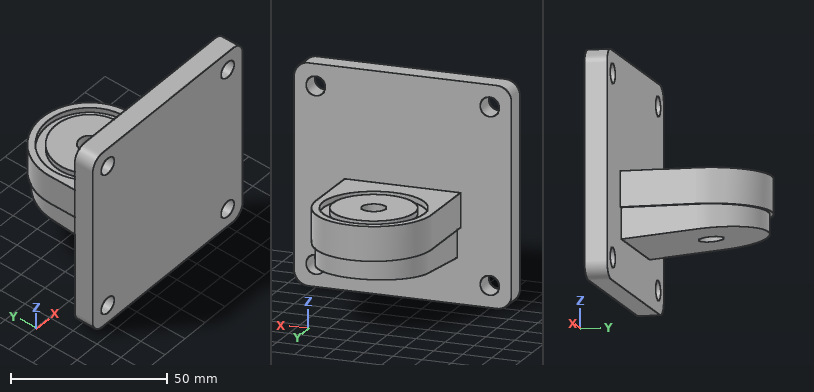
import cadquery as cq
import math

plate_side = 75.0
plate_thickness = 7.5
plate_corner_radius = 5.0
bolt_spacing = 60.0
bolt_hole_diameter = 6.5

total_depth = 52.5
lug_width = 39.9
lug_thickness = 11.7
pivot_y = total_depth - lug_width / 2
pivot_hole_diameter = 8.1

groove_outer_diameter = 34.8
groove_inner_diameter = 28.2
groove_depth = 2.0

support_inset = 1.2
support_width = lug_width - 2 * support_inset
support_root_depth = 22.0
support_slope = 5.0


def make_plate():
    """Square plate with rounded corners and a bolt hole near each corner."""
    plate = (
        cq.Workplane("XZ")
        .rect(plate_side, plate_side)
        .extrude(-plate_thickness)
        .edges("|Y")
        .fillet(plate_corner_radius)
    )
    bolt_holes = (
        cq.Workplane("XZ")
        .rect(bolt_spacing, bolt_spacing, forConstruction=True)
        .vertices()
        .circle(bolt_hole_diameter / 2)
        .extrude(-plate_thickness)
    )
    return plate.cut(bolt_holes)


def make_arm(width, top_z, bottom_z):
    """Arm from the plate's rear face to a round end about the pivot axis."""
    half_width = width / 2
    return (
        cq.Workplane("XY", origin=(0, 0, bottom_z))
        .moveTo(-half_width, plate_thickness)
        .lineTo(half_width, plate_thickness)
        .lineTo(half_width, pivot_y)
        .threePointArc((0, pivot_y + half_width), (-half_width, pivot_y))
        .close()
        .extrude(top_z - bottom_z)
    )


def make_support():
    """Inset arm under the lug, trimmed to a side profile with a sloping bottom."""
    slope_rise = (total_depth - plate_thickness) * math.tan(math.radians(support_slope))
    side_profile = (
        cq.Workplane("YZ")
        .polyline([
            (plate_thickness, -lug_thickness),
            (plate_thickness, -support_root_depth),
            (total_depth, -support_root_depth + slope_rise),
            (total_depth, -lug_thickness),
        ])
        .close()
        .extrude(support_width, both=True)
    )
    return make_arm(support_width, -lug_thickness, -support_root_depth).intersect(side_profile)


def make_groove():
    """Ring cut into the top of the lug."""
    return (
        cq.Workplane("XY")
        .center(0, pivot_y)
        .circle(groove_outer_diameter / 2)
        .circle(groove_inner_diameter / 2)
        .extrude(-groove_depth)
    )


def make_pivot_hole():
    """Vertical hole through the lug and its support."""
    return (
        cq.Workplane("XY")
        .center(0, pivot_y)
        .circle(pivot_hole_diameter / 2)
        .extrude(-support_root_depth)
    )


body = make_plate().union(make_arm(lug_width, 0, -lug_thickness)).union(make_support())
result = body.cut(make_groove()).cut(make_pivot_hole())